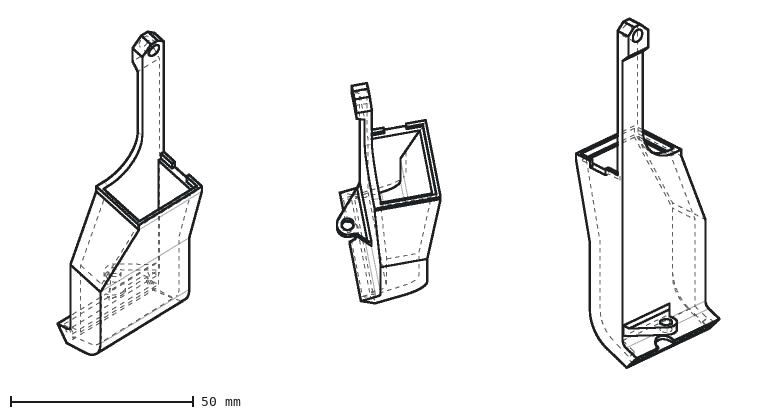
import cadquery as cq
import math


body_width = 31.5
body_depth = 13.0
body_top = 59.2
bend_top = 33.5
wall = 2.0

inlet_width = 22.4
inlet_depth = 18.4
collar_wall = 1.01
collar_height = 2.0
collar_base = body_top - collar_height
notch_start = 6.7
notch_end = 12.9

nozzle_angle = math.radians(20)
nozzle_lip_x = -1.6
nozzle_tip_x = -5.5
nozzle_tip_z = 4.6
bend_radius = 10.0
throat_radius = 2.0
slot_start = 0.23
slot_end = 0.82
slot_side_wall = 1.5
slot_depth = 2.1

arm_width = 7.7
arm_top = 106.5
arm_fillet = 12.0
arm_flat_start = 2.2
arm_flat_end = 4.6
arm_back_shoulder = 104.5
arm_front_shoulder = 103.5
arm_boss_depth = 2.2
arm_boss_bottom = 98.1
arm_hole_y = -3.5
arm_hole_z = 103.3
arm_hole_diameter = 3.6

tab_x = -5.4
tab_y = -11.3
tab_radius = 3.0
tab_bottom = 9.2
tab_thickness = 2.3
tab_top = tab_bottom + tab_thickness
tab_back_y = -0.3
tab_front_y = -17.9
tab_front_bend_x = -3.6
tab_chamfer = 1.01
tab_hole_diameter = 3.3
screw_recess_floor = 2.1


def extrude_along_y(sketch, near, far):
    """Extrude an XZ outline from depth `near` to depth `far` behind the back face."""
    return sketch.extrude(far - near).translate((0, -near, 0))


def extrude_along_x(points, start, end):
    """Extrude a YZ outline between two X positions."""
    return cq.Workplane("YZ", origin=(start, 0, 0)).polyline(points).close().extrude(end - start)


slope = math.tan(nozzle_angle)
bend_x = body_depth - bend_radius
bend_end_x = bend_x + bend_radius * math.sin(nozzle_angle)
bend_z = (bend_end_x - nozzle_lip_x) * slope + bend_radius * math.cos(nozzle_angle)


def bend_point(radius, angle):
    """Point on the bend; the angle is measured down from the +X direction."""
    return (bend_x + radius * math.cos(angle), bend_z - radius * math.sin(angle))


bend_sweep = math.pi / 2 - nozzle_angle


def make_body():
    throat_z = nozzle_tip_z - nozzle_tip_x * slope
    throat_tangent = throat_radius * math.tan(bend_sweep / 2)
    throat_middle_angle = bend_sweep / 2
    throat_center_z = throat_z + throat_tangent
    throat_middle = (
        throat_radius * (math.cos(throat_middle_angle) - 1),
        throat_center_z - throat_radius * math.sin(throat_middle_angle),
    )
    throat_end = (
        -throat_tangent * math.cos(nozzle_angle),
        throat_z - throat_tangent * math.sin(nozzle_angle),
    )
    side = (
        cq.Workplane("XZ")
        .moveTo(0, body_top)
        .lineTo(inlet_depth, body_top)
        .lineTo(inlet_depth, collar_base)
        .lineTo(body_depth, bend_top)
        .lineTo(body_depth, bend_z)
        .threePointArc(bend_point(bend_radius, bend_sweep / 2), bend_point(bend_radius, bend_sweep))
        .lineTo(nozzle_lip_x, 0)
        .lineTo(nozzle_tip_x, nozzle_tip_z)
        .lineTo(*throat_end)
        .threePointArc(throat_middle, (0, throat_center_z))
        .close()
    )
    front_outline = [
        (0, 0),
        (0, body_top),
        (-inlet_width, body_top),
        (-inlet_width, collar_base),
        (-body_width, bend_top),
        (-body_width, 0),
    ]
    block = extrude_along_y(side, 0, body_width)
    return block.intersect(extrude_along_x(front_outline, nozzle_tip_x, inlet_depth))


def outlet_point(share):
    """Point on the outlet face, from the lip (0) to the tip (1)."""
    return (nozzle_lip_x + share * (nozzle_tip_x - nozzle_lip_x), share * nozzle_tip_z)


def make_cavity():
    inner_radius = bend_radius - wall
    slot_low = outlet_point(slot_start)
    slot_high = outlet_point(slot_end)
    roof_z = slot_high[1] + (wall - slot_high[0]) * slope
    side = (
        cq.Workplane("XZ")
        .moveTo(wall, collar_base)
        .lineTo(inlet_depth - wall, collar_base)
        .lineTo(body_depth - wall, bend_top)
        .lineTo(body_depth - wall, bend_z)
        .threePointArc(bend_point(inner_radius, bend_sweep / 2), bend_point(inner_radius, bend_sweep))
        .lineTo(*slot_low)
        .lineTo(*slot_high)
        .lineTo(wall, roof_z)
        .close()
    )
    front_outline = [
        (-wall, 0),
        (-wall, collar_base),
        (wall - inlet_width, collar_base),
        (wall - body_width, bend_top),
        (wall - body_width, 0),
    ]
    channel = extrude_along_y(side, wall, body_width - wall)
    return channel.intersect(extrude_along_x(front_outline, nozzle_tip_x, inlet_depth))


def make_outlet_slot():
    """Slightly wider mouth of the channel at the outlet face."""
    low = outlet_point(slot_start)
    high = outlet_point(slot_end)
    floor_end = bend_point(bend_radius - wall, bend_sweep)
    floor_slope = (floor_end[1] - low[1]) / (floor_end[0] - low[0])
    inner_low = (low[0] + slot_depth, low[1] + slot_depth * floor_slope)
    inner_high = (high[0] + slot_depth, high[1] + slot_depth * slope)
    mouth = (
        cq.Workplane("XZ")
        .polyline([low, high, inner_high, inner_low])
        .close()
    )
    return extrude_along_y(mouth, slot_side_wall, body_width - slot_side_wall)


def make_collar_recess():
    """Stepped seat inside the inlet and the notch through its back wall."""
    seat = cq.Workplane("XY").box(
        inlet_depth - collar_wall - wall, inlet_width - 2 * collar_wall, collar_height, centered=False
    ).translate((wall, collar_wall - inlet_width, collar_base))
    notch = cq.Workplane("XY").box(
        notch_end - notch_start, collar_wall, collar_height, centered=False
    ).translate((notch_start, -collar_wall, collar_base))
    return seat.union(notch)


def make_arm():
    fillet_center_y = -arm_width - arm_fillet
    fillet_center_z = body_top + arm_fillet
    offset = arm_fillet * math.sqrt(0.5)
    plate = (
        cq.Workplane("YZ")
        .moveTo(0, collar_base)
        .lineTo(0, arm_top)
        .lineTo(-arm_width, arm_top)
        .lineTo(-arm_width, fillet_center_z)
        .threePointArc(
            (fillet_center_y + offset, fillet_center_z - offset), (fillet_center_y, body_top)
        )
        .lineTo(fillet_center_y, collar_base)
        .close()
        .extrude(wall)
    )
    boss_outline = [
        (0, arm_top),
        (-arm_boss_depth, arm_top),
        (-arm_boss_depth, arm_boss_bottom),
        (0, arm_boss_bottom - arm_boss_depth),
    ]
    boss = extrude_along_y(cq.Workplane("XZ").polyline(boss_outline).close(), 0, arm_width)
    head_outline = [
        (0, 0),
        (0, arm_back_shoulder),
        (-arm_flat_start, arm_top),
        (-arm_flat_end, arm_top),
        (-arm_width, arm_front_shoulder),
        (-inlet_width, arm_front_shoulder),
        (-inlet_width, 0),
    ]
    arm = plate.union(boss).intersect(extrude_along_x(head_outline, -arm_boss_depth, wall))
    hole = (
        cq.Workplane("YZ", origin=(-arm_boss_depth, arm_hole_y, arm_hole_z))
        .circle(arm_hole_diameter / 2)
        .extrude(arm_boss_depth + wall)
    )
    return arm.cut(hole)


def make_tab():
    reach_y = tab_back_y - tab_y
    distance = math.hypot(tab_x, reach_y)
    tangent_angle = math.atan2(reach_y, -tab_x) + math.acos(tab_radius / distance)
    tangent_point = (
        tab_x + tab_radius * math.cos(tangent_angle),
        tab_y + tab_radius * math.sin(tangent_angle),
    )
    blank = (
        cq.Workplane("XY", origin=(0, 0, tab_bottom))
        .moveTo(wall, tab_back_y)
        .lineTo(0, tab_back_y)
        .lineTo(*tangent_point)
        .threePointArc((tab_x - tab_radius, tab_y), (tab_x, tab_y - tab_radius))
        .lineTo(tab_front_bend_x, tab_y - tab_radius)
        .lineTo(0, tab_front_y)
        .lineTo(wall, tab_front_y)
        .close()
        .extrude(tab_thickness + tab_chamfer)
    )
    side_outline = [
        (wall, tab_bottom),
        (tab_x - tab_radius, tab_bottom),
        (tab_x - tab_radius, tab_top),
        (-tab_chamfer, tab_top),
        (0, tab_top + tab_chamfer),
        (wall, tab_top + tab_chamfer),
    ]
    side = cq.Workplane("XZ").polyline(side_outline).close()
    return blank.intersect(extrude_along_y(side, 0, body_width))


def vertical_cylinder(radius, bottom, top):
    return cq.Workplane("XY", origin=(tab_x, tab_y, bottom)).circle(radius).extrude(top - bottom)


result = (
    make_body()
    .cut(make_cavity())
    .cut(make_outlet_slot())
    .cut(make_collar_recess())
    .cut(vertical_cylinder(tab_radius, screw_recess_floor, tab_bottom))
    .union(make_arm())
    .union(make_tab())
    .cut(vertical_cylinder(tab_hole_diameter / 2, tab_bottom, tab_top))
)